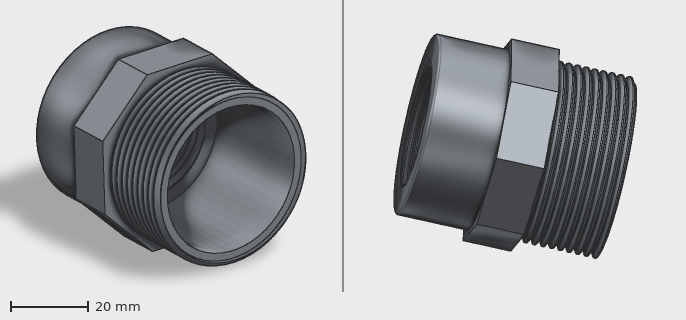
import cadquery as cq
import math

LENGTH = 53.1

SLEEVE_LENGTH = 19.0
SLEEVE_DIAMETER = 47.8
SLEEVE_EDGE_RADIUS = 0.6

COLLAR_WIDTH = 12.7
COLLAR_FLATS = 50.05
COLLAR_SIDES = 8
COLLAR_TURN = 2.0
COLLAR_END = SLEEVE_LENGTH + COLLAR_WIDTH

TEN_PITCHES = 23.1
PITCH = TEN_PITCHES / 10
CREST_WIDTH = 0.35
ROOT_GAP = 0.35

MALE_CREST_DIAMETER = 47.8
MALE_ROOT_DIAMETER = 44.75
FEMALE_ROOT_DIAMETER = 33.25
FEMALE_CREST_DIAMETER = 30.25
FEMALE_THREAD_LENGTH = SLEEVE_LENGTH

RELIEF_DIAMETER = 40.5


def cylinder(start, end, diameter):
    """Solid cylinder on the X axis between two X positions."""
    return cq.Workplane("YZ", origin=(start, 0, 0)).circle(diameter / 2).extrude(end - start)


def make_body():
    """Sleeve, collar and male core with the stepped bore through them."""
    sleeve = cylinder(0, SLEEVE_LENGTH, SLEEVE_DIAMETER).faces("<X").edges().fillet(SLEEVE_EDGE_RADIUS)
    corner_diameter = COLLAR_FLATS / math.cos(math.pi / COLLAR_SIDES)
    collar = (
        cq.Workplane("YZ", origin=(SLEEVE_LENGTH, 0, 0))
        .transformed(rotate=(0, 0, COLLAR_TURN + 180 / COLLAR_SIDES))
        .polygon(COLLAR_SIDES, corner_diameter)
        .extrude(COLLAR_WIDTH)
    )
    core = cylinder(COLLAR_END, LENGTH, MALE_ROOT_DIAMETER)
    female_bore = cylinder(0, FEMALE_THREAD_LENGTH, FEMALE_ROOT_DIAMETER)
    relief_bore = cylinder(FEMALE_THREAD_LENGTH, LENGTH, RELIEF_DIAMETER)
    return sleeve.union(collar).union(core).cut(female_bore).cut(relief_bore)


def make_thread(start, end, root_diameter, crest_diameter, crest_at_top):
    """Helical tooth between its root and crest cylinders, trimmed to flat ends.

    crest_at_top is an X position where the tooth crest crosses the +Z side.
    """
    root_half = (PITCH - ROOT_GAP) / 2
    crest_half = CREST_WIDTH / 2

    lead_turns = math.ceil((crest_at_top - start) / PITCH) + 1
    helix_start = crest_at_top - lead_turns * PITCH
    turns = math.ceil((end - helix_start) / PITCH) + 1

    corners = [
        (root_diameter / 2, -root_half),
        (crest_diameter / 2, -crest_half),
        (crest_diameter / 2, crest_half),
        (root_diameter / 2, root_half),
    ]
    edges = [
        cq.Wire.makeHelix(PITCH, turns * PITCH, radius, center=cq.Vector(0, 0, shift)).Edges()[0]
        for radius, shift in corners
    ]
    sides = [cq.Face.makeRuledSurface(edges[i - 1], edges[i]) for i in range(len(edges))]
    caps = [
        cq.Face.makeFromWires(cq.Wire.makePolygon([edge.positionAt(at) for edge in edges], close=True))
        for at in (0, 1)
    ]
    shell = cq.Shell.makeShell(sides + caps)
    tooth = (
        cq.Workplane(obj=cq.Solid.makeSolid(shell))
        .rotate((0, 0, 0), (0, 1, 0), 90)
        .rotate((0, 0, 0), (1, 0, 0), 180)
        .translate((helix_start, 0, 0))
    )
    trim_diameter = 2 * max(root_diameter, crest_diameter)
    return tooth.intersect(cylinder(start, end, trim_diameter))


body = make_body()
male_thread = make_thread(
    COLLAR_END, LENGTH, MALE_ROOT_DIAMETER, MALE_CREST_DIAMETER, COLLAR_END + PITCH / 2
)
female_thread = make_thread(
    0, FEMALE_THREAD_LENGTH, FEMALE_ROOT_DIAMETER, FEMALE_CREST_DIAMETER, 0
)

result = cq.Compound.makeCompound([body.val(), *male_thread.vals(), *female_thread.vals()])